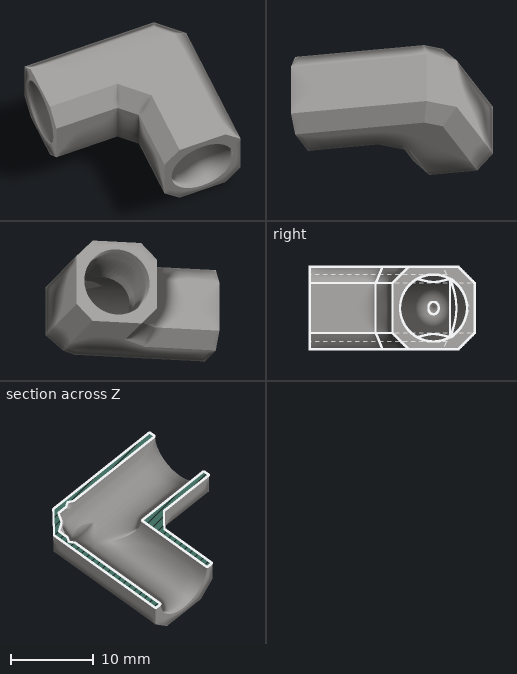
import cadquery as cq
import math

leg_length = 20.0
leg_width = 10.0
section_bevel = 2.0
outer_corner_cut = 3.0
inner_corner_fill = 2.0
bore_diameter = 8.1
bore_depth = 17.0
drill_point_angle = 118.0

bore_radius = bore_diameter / 2
point_depth = bore_radius / math.tan(math.radians(drill_point_angle / 2))
leg_center = leg_width / 2
bend_edge = leg_length - leg_width


def elbow_body():
    """L-shaped body with diagonal corners and bevelled side edges, open ends kept sharp."""
    body = (
        cq.Workplane("XY")
        .polyline([
            (0, 0),
            (leg_width, 0),
            (leg_width, bend_edge - inner_corner_fill),
            (leg_width + inner_corner_fill, bend_edge),
            (leg_length, bend_edge),
            (leg_length, leg_length),
            (outer_corner_cut, leg_length),
            (0, leg_length - outer_corner_cut),
        ])
        .close()
        .extrude(leg_width)
    )
    side_edges = body.edges("#Z and (not <Y) and (not >X)")
    return side_edges.chamfer(section_bevel)


def drilled_bore(mouth, direction):
    """Blind bore with a conical drill point, starting at the mouth centre."""
    mouth_point = cq.Vector(*mouth)
    axis = cq.Vector(*direction)
    barrel = cq.Solid.makeCylinder(bore_radius, bore_depth, mouth_point, axis)
    point = cq.Solid.makeCone(
        bore_radius, 0, point_depth, mouth_point + axis * bore_depth, axis
    )
    return barrel.fuse(point)


y_bore = drilled_bore((leg_center, 0, leg_center), (0, 1, 0))
x_bore = drilled_bore((leg_length, leg_length - leg_center, leg_center), (-1, 0, 0))

result = elbow_body().cut(y_bore).cut(x_bore)